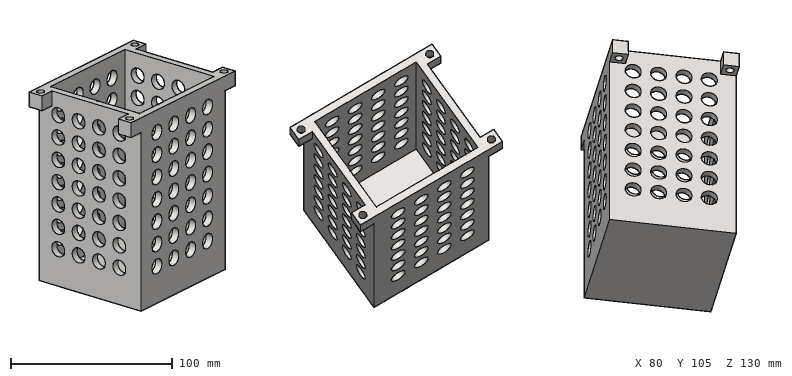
import cadquery as cq

height = 130.0
body_x = 80.0
length_y = 105.0
lug = 10.0
body_y = length_y - 2 * lug
wall = lug / 2
floor = wall

lug_hole_diameter = 5.0

vent_diameter = 10.0
columns = 4
rows = 7
pitch_x = 16.0
pitch_y = 17.0
pitch_z = 1.5 * vent_diameter
first_vent_x = 15.0
first_vent_y = 16.0
top_vent_depth = pitch_z


def cuboid(size_x, size_y, size_z, center_x, center_y, bottom):
    """Box centred in X and Y on the given point, standing on the given height."""
    return (
        cq.Workplane("XY", origin=(center_x, center_y, bottom))
        .box(size_x, size_y, size_z, centered=(True, True, False))
    )


def vent_cutters(plane, first_across, pitch_across, depth):
    """Grid of cylinders normal to an upright plane, long enough to cross both walls."""
    points = [
        (first_across + column * pitch_across, height - top_vent_depth - row * pitch_z)
        for column in range(columns)
        for row in range(rows)
    ]
    return (
        cq.Workplane(plane)
        .pushPoints(points)
        .circle(vent_diameter / 2)
        .extrude(depth / 2, both=True)
    )


result = cuboid(body_x, body_y, height, 0, 0, 0)

lug_centers = [
    (side_x * (body_x - lug) / 2, side_y * (body_y + lug) / 2)
    for side_x in (-1, 1)
    for side_y in (-1, 1)
]
for center_x, center_y in lug_centers:
    result = result.union(cuboid(lug, lug, lug, center_x, center_y, height - lug))

result = result.cut(cuboid(body_x - 2 * wall, body_y - 2 * wall, height - floor, 0, 0, floor))

lug_holes = (
    cq.Workplane("XY", origin=(0, 0, height))
    .pushPoints(lug_centers)
    .circle(lug_hole_diameter / 2)
    .extrude(-lug)
)
result = result.cut(lug_holes)

result = result.cut(vent_cutters("XZ", first_vent_x - body_x / 2, pitch_x, length_y))
result = result.cut(vent_cutters("YZ", first_vent_y - body_y / 2, pitch_y, body_x))